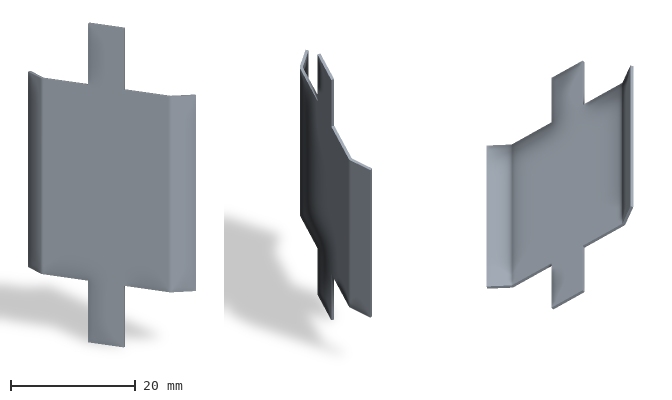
import cadquery as cq
import math

sheet_thickness = 0.5
overall_width = 29.5
overall_height = 53.8
body_height = 33.0
flat_width = 22.0
tab_width = 6.3
bend_angle = 34.15
inner_bend_radius = 0.5

outer_bend_radius = inner_bend_radius + sheet_thickness


def on_bend(radius, angle):
    """Point on the right-hand bend, whose centre lies behind the web edge (+Y)."""
    x = flat_width / 2 + radius * math.sin(angle)
    y = outer_bend_radius - radius * math.cos(angle)
    return (x, y)


def right_half_profile():
    """XY section of half the web, one bend and one wing; the web's front face is at Y = 0."""
    angle = math.radians(bend_angle)
    outer_end = on_bend(outer_bend_radius, angle)
    inner_end = on_bend(inner_bend_radius, angle)
    wing_run = overall_width / 2 - outer_end[0]
    wing_rise = wing_run * math.tan(angle)
    return (
        cq.Workplane("XY")
        .moveTo(0, 0)
        .lineTo(*on_bend(outer_bend_radius, 0))
        .threePointArc(on_bend(outer_bend_radius, angle / 2), outer_end)
        .lineTo(outer_end[0] + wing_run, outer_end[1] + wing_rise)
        .lineTo(inner_end[0] + wing_run, inner_end[1] + wing_rise)
        .lineTo(*inner_end)
        .threePointArc(on_bend(inner_bend_radius, angle / 2), on_bend(inner_bend_radius, 0))
        .lineTo(0, sheet_thickness)
        .close()
    )


def make_body():
    """Web with a wing bent back along each side."""
    right_half = right_half_profile().extrude(body_height / 2, both=True)
    return right_half.union(right_half.mirror("YZ"))


def make_tabs():
    """Flat strip through the web that forms the top and bottom tabs."""
    return cq.Workplane("XY").box(
        tab_width, sheet_thickness, overall_height, centered=(True, False, True)
    )


result = make_body().union(make_tabs()).clean()